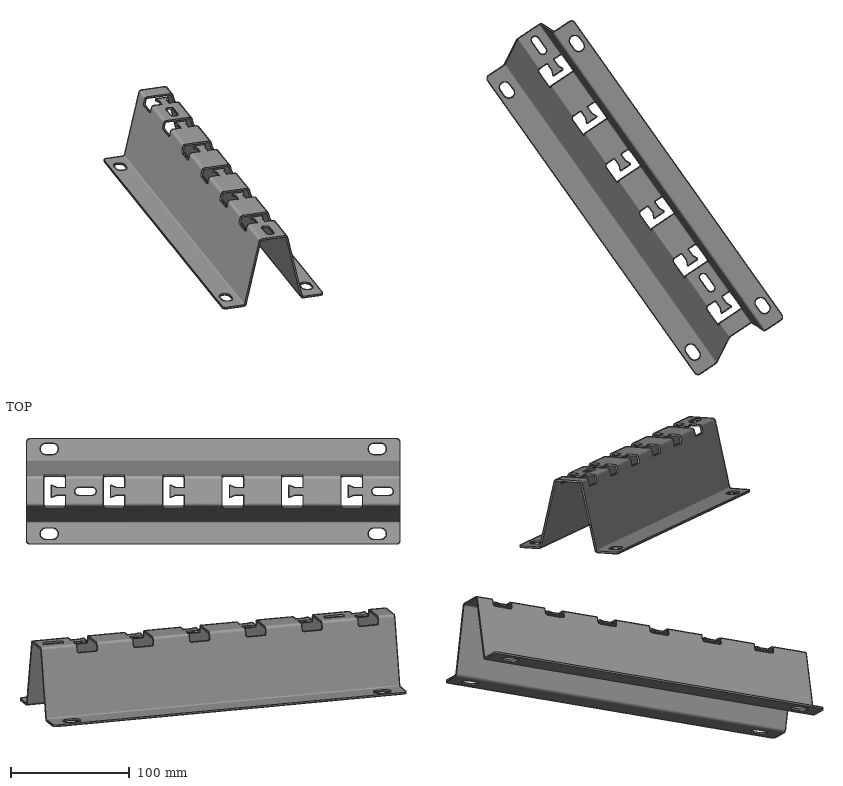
import cadquery as cq
import math

length = 315.0
width = 89.0
height = 60.5
thickness = 1.5
corner_radius = 3.0

crown_half_width = 12.3
foot_half_width = 25.8
inner_bend_radius = 1.3
outer_bend_radius = inner_bend_radius + thickness

notch_count = 6
notch_pitch = 50.0
notch_width = 18.0
notch_depth = 7.0
notch_corner_radius = 2.0
first_notch_start = 14.8
tab_gap = 6.0
tab_width = 6.5
tab_tip_width = 11.0
tab_flare_length = 5.0
tab_tip_radius = 0.5

crown_slot_length = 18.0
crown_slot_width = 6.5
first_crown_slot = 49.8
crown_slot_spacing = (notch_count - 1) * notch_pitch

mount_slot_length = 15.0
mount_slot_width = 9.5
mount_spacing_x = 276.5
mount_spacing_y = 71.5

left_end = -length / 2


def hat_section():
    """Constant thickness hat section with rounded bends, extruded along X."""
    wall_run = foot_half_width - crown_half_width
    bend_angle = math.atan2(height - thickness, wall_run)
    mitre = thickness * math.tan(bend_angle / 2)
    crown_inner = crown_half_width - mitre
    foot_inner = foot_half_width - mitre
    flange_end = width / 2

    half_outline = [
        (flange_end, 0),
        (flange_end, thickness),
        (foot_half_width, thickness),
        (crown_half_width, height),
    ]
    half_underside = [
        (crown_inner, height - thickness),
        (foot_inner, 0),
    ]
    outline = half_outline + [(-y, z) for y, z in reversed(half_outline)]
    underside = [(-y, z) for y, z in reversed(half_underside)] + half_underside
    section = (
        cq.Workplane("YZ", origin=(left_end, 0, 0))
        .polyline(outline + underside)
        .close()
        .extrude(length)
    )

    bends = [
        (foot_half_width, thickness, inner_bend_radius),
        (foot_inner, 0, outer_bend_radius),
        (crown_half_width, height, outer_bend_radius),
        (crown_inner, height - thickness, inner_bend_radius),
    ]
    for y, z, radius in bends:
        for side in (-1, 1):
            edge = cq.selectors.NearestToPointSelector((0, side * y, z))
            section = section.edges("|X").edges(edge).fillet(radius)
    return section


def notch(start):
    """Cutter across the full crown with rounded lower corners."""
    return (
        cq.Workplane("XY", origin=(start, 0, height - notch_depth))
        .box(notch_width, 2 * foot_half_width, 2 * notch_depth, centered=(False, True, False))
        .edges("|Y and <Z")
        .fillet(notch_corner_radius)
    )


def tab(start):
    """Flat tab reaching back into the notch, flared towards its free end."""
    tip = start + tab_gap
    flare_end = tip + tab_flare_length
    root = start + notch_width
    half_stem = tab_width / 2
    half_tip = tab_tip_width / 2
    return (
        cq.Workplane("XY", origin=(0, 0, height - thickness))
        .polyline([
            (tip, -half_tip),
            (flare_end, -half_stem),
            (root, -half_stem),
            (root, half_stem),
            (flare_end, half_stem),
            (tip, half_tip),
        ])
        .close()
        .extrude(thickness)
        .edges("|Z and <X")
        .fillet(tab_tip_radius)
    )


def slots(centres, slot_length, slot_width, sheet_bottom):
    """Obround cutters along X through the sheet lying on the given level."""
    return (
        cq.Workplane("XY", origin=(0, 0, sheet_bottom - thickness))
        .pushPoints(centres)
        .slot2D(slot_length, slot_width)
        .extrude(3 * thickness)
    )


rail = hat_section()

rail = rail.edges("|Z").fillet(corner_radius)

for index in range(notch_count):
    notch_start = left_end + first_notch_start + index * notch_pitch
    rail = rail.cut(notch(notch_start)).union(tab(notch_start))

crown_slot_x = left_end + first_crown_slot
crown_slot_centres = [(crown_slot_x, 0), (crown_slot_x + crown_slot_spacing, 0)]
rail = rail.cut(slots(crown_slot_centres, crown_slot_length, crown_slot_width, height - thickness))

mount_centres = [
    (side_x * mount_spacing_x / 2, side_y * mount_spacing_y / 2)
    for side_x in (-1, 1)
    for side_y in (-1, 1)
]
rail = rail.cut(slots(mount_centres, mount_slot_length, mount_slot_width, 0))

result = rail